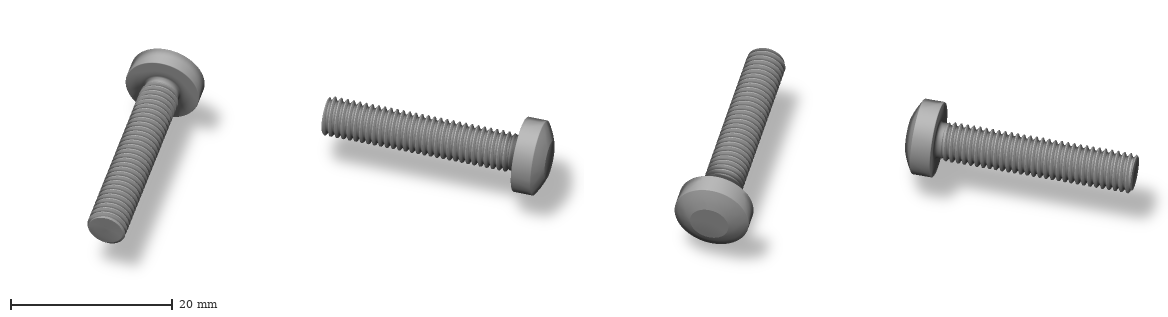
import cadquery as cq
import math


major_radius = 5.0 / 2
pitch = 0.8
shank_length = 25.0
sharp_height = pitch * math.sqrt(3) / 2
pitch_radius = major_radius - sharp_height * 3 / 8
root_radius = major_radius - sharp_height * 5 / 8
crest_width = pitch / 8
flank_slope = math.tan(math.radians(30))
spare_turns = 2
turn_count = math.ceil(shank_length / pitch) + spare_turns
envelope_clearance = 0.2

crest_to_tip = 0.6

tip_radius = pitch_radius
tip_chamfer_length = 0.3
tip_dish_depth = 0.1

neck_radius = pitch_radius
neck_length = 0.8
neck_fillet = 0.2
neck_taper_length = 0.2
neck_end_radius = neck_radius - neck_taper_length
runout_length = 0.6

head_radius = 9.5 / 2
head_height = 3.7
rim_height = 2.5
crown_flat_radius = 2.45
crown_radius = 10.0
rim_edge_radius = 0.1


def revolve_about_y(profile):
    return profile.close().revolve(360, (0, 0, 0), (0, 1, 0))


def make_head():
    chord_r = head_radius - crown_flat_radius
    chord_y = head_height - rim_height
    chord = math.hypot(chord_r, chord_y)
    sagitta = crown_radius - math.sqrt(crown_radius**2 - (chord / 2) ** 2)
    crown_middle = (
        (head_radius + crown_flat_radius) / 2 + sagitta * chord_y / chord,
        (head_height + rim_height) / 2 + sagitta * chord_r / chord,
    )
    head = revolve_about_y(
        cq.Workplane("XY")
        .lineTo(head_radius, 0)
        .lineTo(head_radius, rim_height)
        .threePointArc(crown_middle, (crown_flat_radius, head_height))
        .lineTo(0, head_height)
    )
    rim_edges = cq.selectors.BoxSelector(
        (-head_radius, -rim_edge_radius, -head_radius),
        (head_radius, rim_height + rim_edge_radius, head_radius),
    )
    return head.edges("%CIRCLE").edges(rim_edges).fillet(rim_edge_radius)


def make_neck():
    return revolve_about_y(
        cq.Workplane("XY")
        .lineTo(neck_radius + neck_fillet, 0)
        .radiusArc((neck_radius, -neck_fillet), -neck_fillet)
        .lineTo(neck_radius, -neck_length)
        .lineTo(neck_end_radius, -neck_length - neck_taper_length)
        .lineTo(0, -neck_length - neck_taper_length)
    )


def make_threaded_rod():
    """Rod along +Z with a right-hand thread, closed without any boolean operation.

    One-turn helical rails run along every corner of the thread profile, and ruled strips join
    each rail to the next. Each end is a helicoid cap and a flat step at the start of the turn.
    The first crest starts on the +X side at Z = 0.
    """
    crest_half = crest_width / 2
    root_half = crest_half + (major_radius - root_radius) * flank_slope
    ridge_profile = [
        (root_radius, -root_half),
        (major_radius, -crest_half),
        (major_radius, crest_half),
        (root_radius, root_half),
    ]
    corners = [(r, z + turn * pitch) for turn in range(turn_count) for r, z in ridge_profile]
    corners.append((root_radius, turn_count * pitch - root_half))
    rails = [cq.Wire.makeHelix(pitch, pitch, r).translate((0, 0, z)).Edges()[0] for r, z in corners]
    faces = [cq.Face.makeRuledSurface(lower, upper) for lower, upper in zip(rails, rails[1:])]

    corners_per_turn = len(ridge_profile)
    last_turn = [(r, z + pitch) for r, z in corners[-corners_per_turn - 1:]]
    for rail, step in ((rails[0], corners[:corners_per_turn + 1]), (rails[-1], last_turn)):
        axis_start = cq.Vector(0, 0, step[0][1])
        axis_end = cq.Vector(0, 0, step[-1][1])
        outline = [axis_start] + [cq.Vector(r, 0, z) for r, z in step] + [axis_end]
        faces.append(cq.Face.makeFromWires(cq.Wire.makePolygon(outline, close=True)))
        rail_bottom = rail.startPoint().z
        axis_edge = cq.Edge.makeLine(cq.Vector(0, 0, rail_bottom), cq.Vector(0, 0, rail_bottom + pitch))
        faces.append(cq.Face.makeRuledSurface(axis_edge, rail))
    return cq.Workplane(cq.Solid.makeSolid(cq.Shell.makeShell(faces)))


def make_thread_envelope():
    runout_slope = runout_length / (major_radius - neck_radius)
    chamfer_slope = tip_chamfer_length / (major_radius - tip_radius)
    outer_radius = major_radius + envelope_clearance
    return revolve_about_y(
        cq.Workplane("XY")
        .moveTo(0, -neck_length)
        .lineTo(neck_radius, -neck_length)
        .lineTo(outer_radius, -neck_length - (outer_radius - neck_radius) * runout_slope)
        .lineTo(outer_radius, -shank_length + (outer_radius - tip_radius) * chamfer_slope)
        .lineTo(tip_radius, -shank_length)
        .lineTo(root_radius, -shank_length)
        .lineTo(0, -shank_length + tip_dish_depth)
    )


def make_thread():
    rod = (
        make_threaded_rod()
        .rotate((0, 0, 0), (1, 0, 0), -90)
        .rotate((0, 0, 0), (0, 1, 0), 180)
        .translate((0, -shank_length + crest_to_tip - spare_turns * pitch, 0))
    )
    return rod.intersect(make_thread_envelope())


screw = make_thread().union(make_neck()).union(make_head())
result = cq.Workplane(screw.solids().val())